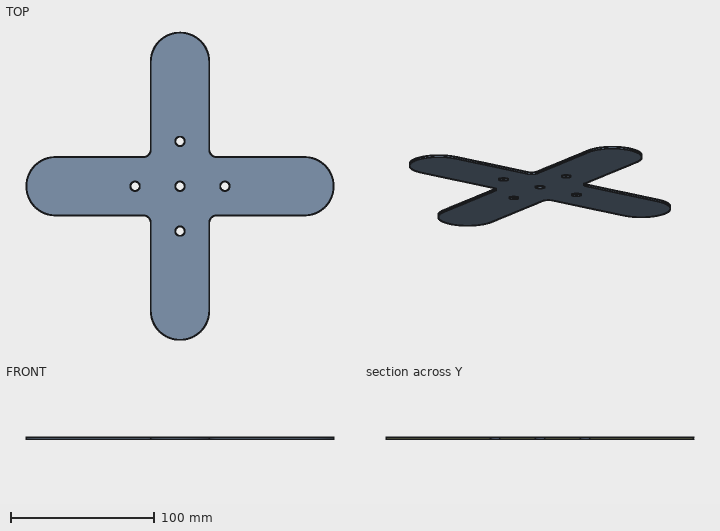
import cadquery as cq

span = 214.8
arm_width = 41.0
thickness = 1.5
inner_corner_radius = 5.0
hole_diameter = 6.5
hole_offset = 31.4


def arm_pair(angle):
    """Two opposite round-ended arms, turned by angle about Z."""
    return cq.Workplane("XY").slot2D(span, arm_width, angle).extrude(thickness)


cross = arm_pair(0).union(arm_pair(90))

corner_box = cq.selectors.BoxSelector(
    (-arm_width, -arm_width, -thickness),
    (arm_width, arm_width, 2 * thickness),
)
cross = cross.edges("|Z").edges(corner_box).fillet(inner_corner_radius)

hole_centres = [
    (0, 0),
    (hole_offset, 0),
    (-hole_offset, 0),
    (0, hole_offset),
    (0, -hole_offset),
]
holes = cq.Workplane("XY").pushPoints(hole_centres).circle(hole_diameter / 2).extrude(thickness)

result = cross.cut(holes)